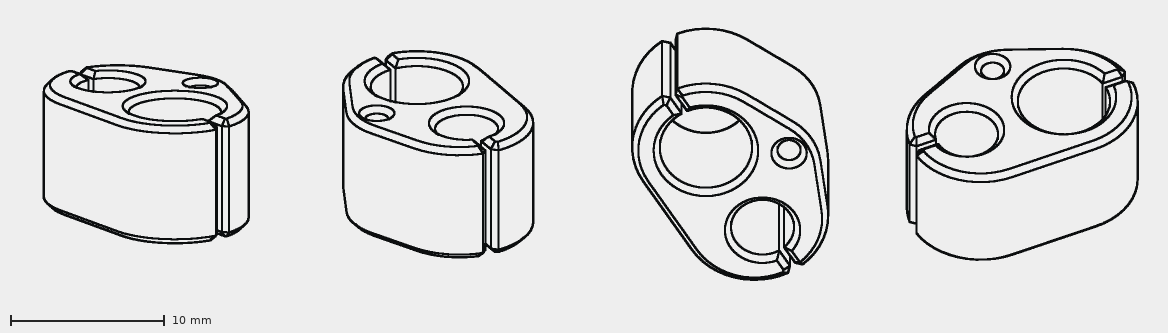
import cadquery as cq
import math

height = 8.0
edge_chamfer = 0.4
lobe_offset = 3.0
lobe_radius = 4.8
crown_centre_y = 2.0
crown_radius = 4.2
large_bore_x = 3.0
large_bore_diameter = 6.0
small_bore_x = -4.0
small_bore_diameter = 4.1
pin_hole_y = 4.5
pin_hole_diameter = 1.5
slot_width = 0.4

centre_distance = math.hypot(lobe_offset, crown_centre_y)
flat_angle = (
    math.acos((lobe_radius - crown_radius) / centre_distance)
    - math.atan2(lobe_offset, crown_centre_y)
)

lobe_side_x = lobe_offset + lobe_radius


def outline_body():
    """Rounded plate: two side lobes and a crown, joined by tangent flats."""
    normal_x = math.sin(flat_angle)
    normal_y = math.cos(flat_angle)
    lobe_end_x = lobe_offset + lobe_radius * normal_x
    lobe_end_y = lobe_radius * normal_y
    crown_end_x = crown_radius * normal_x
    crown_end_y = crown_centre_y + crown_radius * normal_y
    return (
        cq.Workplane("XY")
        .moveTo(-lobe_offset, -lobe_radius)
        .lineTo(lobe_offset, -lobe_radius)
        .threePointArc((lobe_side_x, 0), (lobe_end_x, lobe_end_y))
        .lineTo(crown_end_x, crown_end_y)
        .threePointArc((0, crown_centre_y + crown_radius), (-crown_end_x, crown_end_y))
        .lineTo(-lobe_end_x, lobe_end_y)
        .threePointArc((-lobe_side_x, 0), (-lobe_offset, -lobe_radius))
        .close()
        .extrude(height)
    )


def through_hole(x, y, diameter):
    """Cutter for a vertical hole through the full height."""
    return cq.Workplane("XY").center(x, y).circle(diameter / 2).extrude(height)


def side_slot(bore_x, side):
    """Cutter that opens a bore to the outside; side is +1 for +X or -1 for -X.

    Both slot walls end in a 45 degree flare that starts one chamfer size
    short of the farthest reach of the lobe.
    """
    wall_end = lobe_side_x - edge_chamfer
    flare = 2 * edge_chamfer
    return (
        cq.Workplane("XY")
        .moveTo(bore_x, 0)
        .lineTo(side * wall_end, 0)
        .lineTo(side * (wall_end + flare), -flare)
        .lineTo(side * (wall_end + flare), slot_width + flare)
        .lineTo(side * wall_end, slot_width)
        .lineTo(bore_x, slot_width)
        .close()
        .extrude(height)
    )


body = outline_body()
body = body.cut(through_hole(large_bore_x, 0, large_bore_diameter))
body = body.cut(through_hole(small_bore_x, 0, small_bore_diameter))
body = body.cut(through_hole(0, pin_hole_y, pin_hole_diameter))
body = body.cut(side_slot(large_bore_x, 1))
body = body.cut(side_slot(small_bore_x, -1))

result = body.faces("<Z or >Z").edges().chamfer(edge_chamfer)